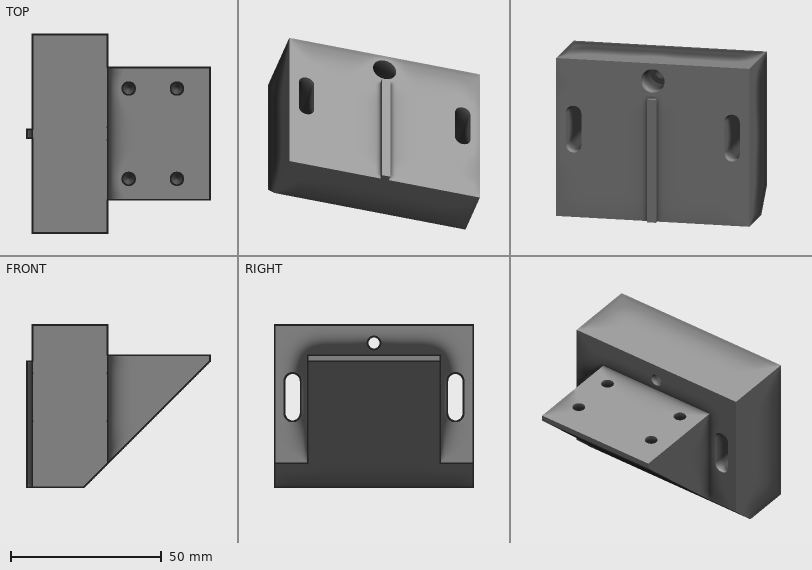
import cadquery as cq
import math

block_depth = 25.0
block_width = 66.0
block_height = 54.0

shelf_reach = 34.0
shelf_width = 44.0
shelf_top = 44.0
shelf_lip = 2.0
shelf_end = block_depth + shelf_reach

slope_start = shelf_end - (shelf_top - shelf_lip)
slope_height_at_block = block_depth - slope_start

rib_depth = 1.8
rib_width = 2.95
rib_height = 42.0

bore_height = 48.0
bore_diameter = 4.2
counterbore_diameter = 8.0
counterbore_depth = block_depth / 2

slot_width = 5.3
slot_length = 16.0
slot_offset = 27.05
slot_height = 30.0

drill_diameter = 4.23
drill_depth = 10.0
drill_tip_angle = 118.0
drill_first_x = block_depth + 7.0
drill_spacing_x = 16.0
drill_spacing_y = 30.0


def make_block():
    profile = (
        cq.Workplane("XZ")
        .moveTo(0, 0)
        .lineTo(slope_start, 0)
        .lineTo(block_depth, slope_height_at_block)
        .lineTo(block_depth, block_height)
        .lineTo(0, block_height)
        .close()
    )
    return profile.extrude(block_width / 2, both=True)


def make_shelf():
    profile = (
        cq.Workplane("XZ")
        .moveTo(block_depth, slope_height_at_block)
        .lineTo(shelf_end, shelf_top - shelf_lip)
        .lineTo(shelf_end, shelf_top)
        .lineTo(block_depth, shelf_top)
        .close()
    )
    return profile.extrude(shelf_width / 2, both=True)


def make_rib():
    return cq.Workplane("XY").box(
        rib_depth, rib_width, rib_height, centered=(False, True, False)
    ).translate((-rib_depth, 0, 0))


def make_stepped_hole():
    front = cq.Workplane("YZ").center(0, bore_height)
    bore = front.circle(bore_diameter / 2).extrude(block_depth)
    counterbore = front.circle(counterbore_diameter / 2).extrude(counterbore_depth)
    return bore.union(counterbore)


def make_slots():
    return (
        cq.Workplane("YZ")
        .pushPoints([(-slot_offset, slot_height), (slot_offset, slot_height)])
        .slot2D(slot_length, slot_width, 90)
        .extrude(block_depth)
    )


def make_drilled_hole(x, y):
    """Blind hole with the conical bottom left by the drill tip."""
    radius = drill_diameter / 2
    tip_depth = radius / math.tan(math.radians(drill_tip_angle / 2))
    half_section = (
        cq.Workplane("XZ")
        .moveTo(0, 0)
        .lineTo(radius, 0)
        .lineTo(radius, -drill_depth)
        .lineTo(0, -drill_depth - tip_depth)
        .close()
    )
    hole = half_section.revolve(360, (0, 0, 0), (0, 1, 0))
    return hole.translate((x, y, shelf_top))


result = make_block().union(make_shelf()).union(make_rib())
result = result.cut(make_stepped_hole()).cut(make_slots())
for hole_x in (drill_first_x, drill_first_x + drill_spacing_x):
    for hole_y in (-drill_spacing_y / 2, drill_spacing_y / 2):
        result = result.cut(make_drilled_hole(hole_x, hole_y))